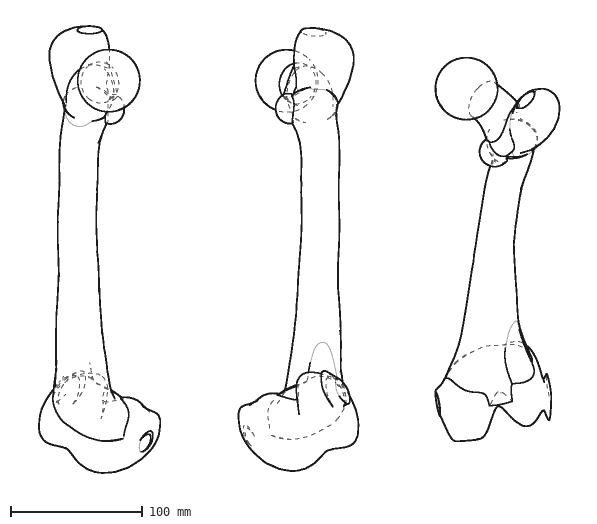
import cadquery as cq
import math


HEIGHT = 446.42

OUTLINE_POINTS = 12
ELLIPSE_POWER = 2
CONDYLE_POWER = 2.4

HEAD_RADIUS = 23.8
HEAD_CENTRE = cq.Vector(22.0, -6.5, HEIGHT - HEAD_RADIUS)

NECK_AXIS = cq.Vector(0.7, -0.25, 0.7)
NECK_SECTIONS = [
    (cq.Vector(-11.0, 4.0, 350.0), cq.Vector(0.0, 0.0, 1.0), 14.5),
    (cq.Vector(-6.5, 4.5, 382.0), cq.Vector(0.35, -0.1, 0.9), 18.0),
    (cq.Vector(4.5, -1.0, 403.0), NECK_AXIS, 16.0),
    (HEAD_CENTRE, NECK_AXIS, 16.5),
]

CREST_AXIS = cq.Vector(0.5, 0.0, -0.86)
CREST_SECTIONS = [
    (cq.Vector(-20.0, 17.0, 406.0), CREST_AXIS, 12.0),
    (cq.Vector(-8.0, 16.0, 385.0), CREST_AXIS, 11.0),
    (cq.Vector(3.0, 14.0, 366.0), CREST_AXIS, 9.0),
]

RIDGE_AXIS = cq.Vector(0.1, -0.2, 0.97)
RIDGE_SECTIONS = [
    (cq.Vector(-15.0, 6.0, 43.0), RIDGE_AXIS, 16.0),
    (cq.Vector(-13.5, -1.5, 59.0), RIDGE_AXIS, 13.0),
    (cq.Vector(-11.0, -5.5, 75.0), RIDGE_AXIS, 11.5),
    (cq.Vector(-6.0, -11.0, 110.0), RIDGE_AXIS, 11.5),
]

SHAFT_SECTIONS = [
    (43.0, 3.0, -2.0, 36.0, 26.0),
    (59.0, 2.0, -9.0, 29.0, 21.0),
    (75.0, 1.5, -12.8, 24.5, 18.4),
    (91.5, 1.5, -13.9, 21.8, 18.2),
    (115.5, 0.7, -14.8, 19.8, 17.7),
    (156.0, -0.7, -15.5, 17.1, 17.1),
    (204.5, -2.0, -14.1, 14.4, 16.4),
    (253.0, -5.4, -12.1, 13.7, 16.3),
    (293.0, -8.1, -7.1, 13.7, 16.0),
    (333.5, -12.1, 0.0, 15.1, 16.1),
    (349.5, -11.1, 4.0, 17.1, 16.1),
    (365.5, -10.5, 6.5, 19.5, 18.5),
]

TROCHANTER_TURN = 42.0
TROCHANTER_SECTIONS = [
    (346.0, -11.5, 3.5, 14.0, 14.0),
    (365.5, -12.5, 7.0, 16.5, 17.5),
    (387.0, -22.8, 11.5, 21.5, 18.5),
    (400.0, -26.1, 14.3, 23.0, 17.5),
    (412.0, -26.3, 16.0, 21.5, 15.0),
    (424.0, -22.5, 18.0, 14.5, 9.0),
    (430.7, -19.2, 18.5, 9.5, 4.0),
]

CONDYLE_SECTIONS = [
    (-39.0, 8.0, 32.0, 10.0, 10.0),
    (-34.0, 7.0, 29.5, 18.0, 17.5),
    (-22.5, -1.0, 30.5, 33.3, 24.5),
    (-12.0, -1.0, 31.5, 31.5, 25.0),
    (0.0, -9.5, 34.0, 22.0, 23.0),
    (16.0, 0.5, 27.2, 33.0, 26.0),
    (27.0, 3.0, 25.5, 30.5, 25.5),
    (36.0, 8.5, 26.5, 25.0, 24.0),
    (42.0, 10.5, 29.0, 18.5, 18.0),
    (46.8, 8.0, 33.0, 8.0, 9.0),
]

LESSER_CENTRE = cq.Vector(4.0, 14.5, 364.0)
LESSER_RADII = (12.0, 11.0, 13.0)


def superellipse(plane, half_u, half_v, power):
    """Closed smooth outline; power 2 is an ellipse, larger powers are squarer."""
    points = []
    for i in range(OUTLINE_POINTS):
        angle = 2 * math.pi * i / OUTLINE_POINTS
        c = math.cos(angle)
        s = math.sin(angle)
        reach = (abs(c) ** power + abs(s) ** power) ** (-1 / power)
        points.append(plane.toWorldCoords((half_u * reach * c, half_v * reach * s)))
    return cq.Wire.assembleEdges([cq.Edge.makeSpline(points, periodic=True)])


def loft_along_z(sections, turn):
    """Loft of level ellipses whose first half size lies `turn` degrees from X."""
    angle = math.radians(turn)
    long_axis = (math.cos(angle), math.sin(angle), 0)
    wires = []
    for z, x, y, half_length, half_breadth in sections:
        plane = cq.Plane(origin=(x, y, z), xDir=long_axis, normal=(0, 0, 1))
        wires.append(superellipse(plane, half_length, half_breadth, ELLIPSE_POWER))
    return cq.Solid.makeLoft(wires)


def make_condyles():
    wires = []
    for x, y, z, half_depth, half_height in CONDYLE_SECTIONS:
        plane = cq.Plane(origin=(x, y, z), xDir=(0, 1, 0), normal=(1, 0, 0))
        wires.append(superellipse(plane, half_depth, half_height, CONDYLE_POWER))
    return cq.Solid.makeLoft(wires)


def loft_along_path(sections):
    """Loft of circles, each square to its own axis."""
    wires = []
    for centre, axis, radius in sections:
        plane = cq.Plane(origin=centre, xDir=(0, 1, 0), normal=axis)
        wires.append(superellipse(plane, radius, radius, ELLIPSE_POWER))
    return cq.Solid.makeLoft(wires)


def make_head():
    return cq.Workplane("XY").sphere(HEAD_RADIUS).translate(HEAD_CENTRE).val()


def make_lesser_trochanter():
    rx, ry, rz = LESSER_RADII
    stretch = cq.Matrix([
        [rx, 0, 0, LESSER_CENTRE.x],
        [0, ry, 0, LESSER_CENTRE.y],
        [0, 0, rz, LESSER_CENTRE.z],
    ])
    return cq.Workplane("XY").sphere(1).val().transformGeometry(stretch)


shaft = loft_along_z(SHAFT_SECTIONS, 0)
attached_parts = [
    make_condyles(),
    loft_along_path(RIDGE_SECTIONS),
    loft_along_path(NECK_SECTIONS),
    make_head(),
    loft_along_path(CREST_SECTIONS),
    loft_along_z(TROCHANTER_SECTIONS, TROCHANTER_TURN),
    make_lesser_trochanter(),
]

result = cq.Workplane(shaft)
for part in attached_parts:
    result = result.union(cq.Workplane(part))